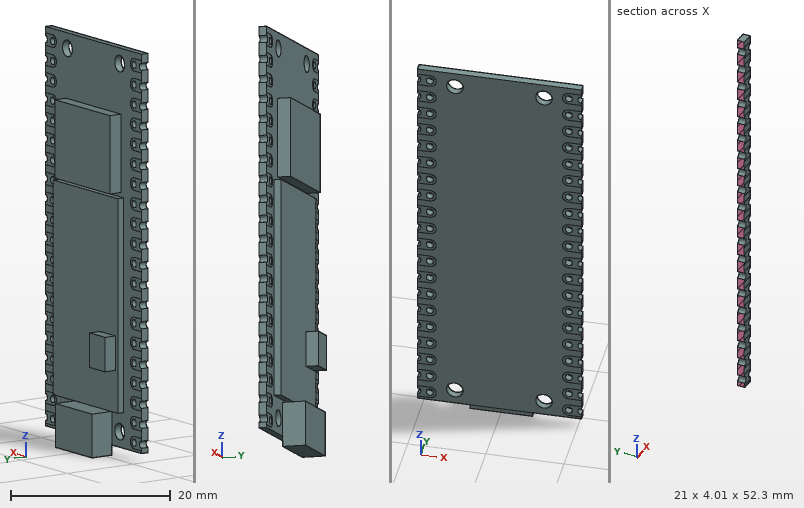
import cadquery as cq

BOARD_WIDTH = 21.0
BOARD_LENGTH = 51.0
BOARD_THICKNESS = 1.0

MOUNT_HOLE_DIAMETER = 2.1
MOUNT_SPACING_X = 11.4
MOUNT_EDGE_Z = 2.0
MOUNT_SPACING_Z = BOARD_LENGTH - 2 * MOUNT_EDGE_Z

PAD_COUNT = 20
PAD_PITCH = 2.54
PAD_ROW_CENTER_Z = -0.23
PAD_WIDTH = 1.6
PAD_THICKNESS = 0.01
PIN_EDGE_DISTANCE = 1.61
PIN_HOLE_DIAMETER = 0.9

USB_WIDTH = 8.0
USB_HEIGHT = 3.0
USB_LENGTH = 5.6
USB_OVERHANG = 1.3

MODULE_WIDTH = 12.0
MODULE_HEIGHT = 1.7
MODULE_LENGTH = 10.0
MODULE_TOP_GAP = 8.4

PLATE_WIDTH = 14.1
PLATE_HEIGHT = 0.9
PLATE_LENGTH = 27.4
PLATE_LEFT_GAP = 3.9
PLATE_BOTTOM_GAP = 4.6

BUTTON_WIDTH = 3.4
BUTTON_HEIGHT = 2.5
BUTTON_LENGTH = 4.4
BUTTON_LEFT_GAP = 4.4
BUTTON_BOTTOM_GAP = 10.0

LEFT = -BOARD_WIDTH / 2
BOTTOM = -BOARD_LENGTH / 2
TOP = BOARD_LENGTH / 2


def block(x_min, y_min, z_min, width, height, length):
    """Box given by its lowest corner and its sizes along X, Y and Z."""
    return cq.Workplane("XY").box(width, height, length, centered=False).translate((x_min, y_min, z_min))


def component(x_min, z_min, width, length, height):
    """Block standing on the component face of the board."""
    return block(x_min, BOARD_THICKNESS, z_min, width, height, length)


def through_sketch():
    """Sketch plane level with the component-side pads; extrusions from it grow towards -Y."""
    return cq.Workplane("XZ", origin=(0, BOARD_THICKNESS + PAD_THICKNESS, 0))


def pin_points(edge_distance):
    """Points of both pad rows at the given distance from the long edges."""
    first_z = PAD_ROW_CENTER_Z - (PAD_COUNT - 1) * PAD_PITCH / 2
    x = BOARD_WIDTH / 2 - edge_distance
    return [(side * x, first_z + i * PAD_PITCH) for side in (-1, 1) for i in range(PAD_COUNT)]


def through_board(sketch):
    """Extrude a through_sketch across the board and the pads on both its faces."""
    return sketch.extrude(BOARD_THICKNESS + 2 * PAD_THICKNESS)


def pads():
    """Tongues through the board, proud of both faces: straight from the edge, round about the pin hole."""
    straight = PIN_EDGE_DISTANCE
    bars = through_sketch().pushPoints(pin_points(straight / 2)).rect(straight, PAD_WIDTH)
    ends = through_sketch().pushPoints(pin_points(straight)).circle(PAD_WIDTH / 2)
    return through_board(bars).union(through_board(ends))


def through_cylinders(points, diameter):
    """Cutters for round holes along Y at the given X, Z points."""
    return through_board(through_sketch().pushPoints(points).circle(diameter / 2))


def mount_points():
    """Centers of the four mounting holes."""
    x = MOUNT_SPACING_X / 2
    z = MOUNT_SPACING_Z / 2
    return [(sx * x, sz * z) for sx in (-1, 1) for sz in (-1, 1)]


def bare_board():
    """Board with its pads, pin holes, half holes in the edges and mounting holes."""
    board = block(LEFT, 0, BOTTOM, BOARD_WIDTH, BOARD_THICKNESS, BOARD_LENGTH)
    board = board.union(pads())
    board = board.cut(through_cylinders(pin_points(PIN_EDGE_DISTANCE), PIN_HOLE_DIAMETER))
    board = board.cut(through_cylinders(pin_points(0), PIN_HOLE_DIAMETER))
    return board.cut(through_cylinders(mount_points(), MOUNT_HOLE_DIAMETER))


usb = component(-USB_WIDTH / 2, BOTTOM - USB_OVERHANG, USB_WIDTH, USB_LENGTH, USB_HEIGHT)
module = component(
    -MODULE_WIDTH / 2, TOP - MODULE_TOP_GAP - MODULE_LENGTH, MODULE_WIDTH, MODULE_LENGTH, MODULE_HEIGHT
)
plate = component(
    LEFT + PLATE_LEFT_GAP, BOTTOM + PLATE_BOTTOM_GAP, PLATE_WIDTH, PLATE_LENGTH, PLATE_HEIGHT
)
button = component(
    LEFT + BUTTON_LEFT_GAP, BOTTOM + BUTTON_BOTTOM_GAP, BUTTON_WIDTH, BUTTON_LENGTH, BUTTON_HEIGHT
)

result = bare_board().union(plate).union(button).union(module).union(usb)